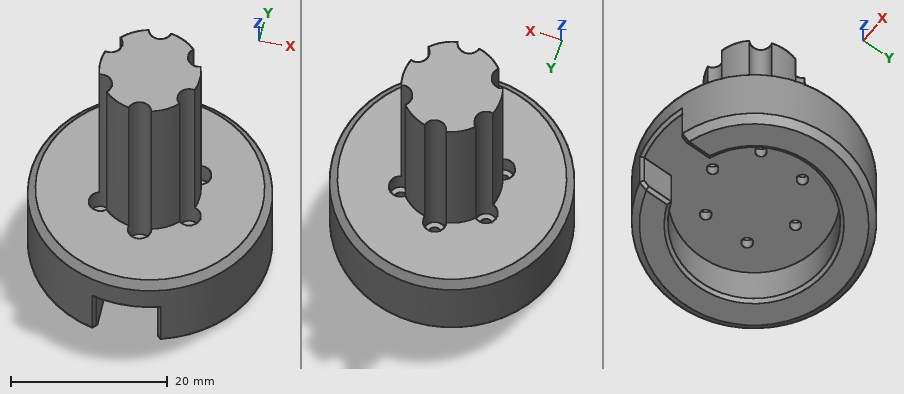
import cadquery as cq

total_height = 37.3
hub_diameter = 31.3
hub_height = 12.3
hub_chamfer = 1.0

shaft_diameter = 13.0
groove_diameter = 3.0
screw_hole_diameter = 1.5
screw_circle_radius = 6.68
screw_count = 6
counterbore_depth = 3.0

recess_diameter = 22.0
notch_width = 8.0
notch_height = 7.35
recess_depth = notch_height
edge_break = 0.5

hub_radius = hub_diameter / 2
recess_radius = recess_diameter / 2


def make_hub():
    """Disc with both outer rims chamfered."""
    disc = cq.Workplane("XY").circle(hub_radius).extrude(hub_height)
    return disc.faces("<Z or >Z").edges().chamfer(hub_chamfer)


def make_shaft():
    """Plain round shaft, from the hub's top face upward."""
    plane = cq.Workplane("XY").workplane(offset=hub_height)
    return plane.circle(shaft_diameter / 2).extrude(total_height - hub_height)


def screw_circle_cylinders(diameter, bottom):
    """Cylinders on the screw circle, from the given height to the top."""
    return (
        cq.Workplane("XY")
        .workplane(offset=bottom)
        .polarArray(screw_circle_radius, 90, 360, screw_count)
        .circle(diameter / 2)
        .extrude(total_height - bottom)
    )


def make_recess():
    """Round recess in the underside, flared at its mouth."""
    return (
        cq.Workplane("XZ")
        .lineTo(recess_radius + edge_break, 0)
        .lineTo(recess_radius, edge_break)
        .lineTo(recess_radius, recess_depth)
        .lineTo(0, recess_depth)
        .close()
        .revolve(360, (0, 0, 0), (0, 1, 0))
    )


def make_notch_ceiling():
    """Revolved solid bounding the notch from above, rising at 45 degrees toward the outer wall."""
    return (
        cq.Workplane("XZ")
        .lineTo(hub_radius, 0)
        .lineTo(hub_radius, notch_height + edge_break)
        .lineTo(hub_radius - edge_break, notch_height)
        .lineTo(0, notch_height)
        .close()
        .revolve(360, (0, 0, 0), (0, 1, 0))
    )


def cut_notch(body):
    """Open the -Y wall into the recess, with bevels along its outer and lower edges."""
    slot = (
        cq.Workplane("XY")
        .box(notch_width, hub_radius, hub_height, centered=(True, False, False))
        .translate((0, -hub_radius, 0))
    )
    side_edges = cq.selectors.BoxSelector(
        (-notch_width, -hub_radius, -edge_break),
        (notch_width, -recess_radius - edge_break, hub_height - hub_chamfer),
    )
    slotted = body.cut(slot).edges(side_edges).chamfer(edge_break)
    opening = body.cut(slotted).intersect(make_notch_ceiling())
    return body.cut(opening)


hub = cut_notch(make_hub().cut(make_recess()))
grooves = screw_circle_cylinders(groove_diameter, hub_height - counterbore_depth)
screw_holes = screw_circle_cylinders(screw_hole_diameter, 0)

result = hub.union(make_shaft()).cut(grooves).cut(screw_holes)